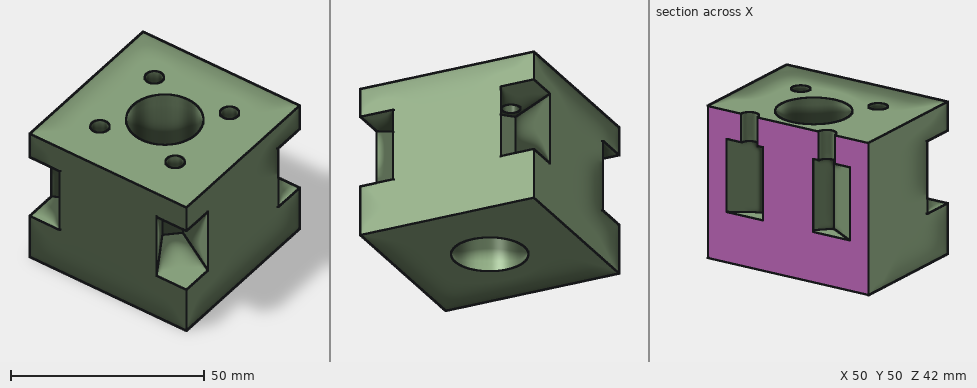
import cadquery as cq

side = 50.0
height = 42.0
half_side = side / 2

bore_diameter = 20.0
bolt_diameter = 5.0
bolt_spacing = 24.0

pocket_floor = 14.0
pocket_height = 20.0
pocket_mouth = 9.5
back_near = 14.0
back_far = 17.8

pocket_top = pocket_floor + pocket_height
bolt_depth = height - pocket_top


def corner_pocket():
    """Cutter for the pocket at the -X, -Y corner."""
    return (
        cq.Workplane("XY", origin=(-half_side, -half_side, pocket_floor))
        .polyline([
            (0, 0),
            (pocket_mouth, 0),
            (back_far, back_near),
            (back_near, back_far),
            (0, pocket_mouth),
        ])
        .close()
        .extrude(pocket_height)
    )


block = cq.Workplane("XY").box(side, side, height, centered=(True, True, False))

for quarter_turn in range(4):
    block = block.cut(corner_pocket().rotate((0, 0, 0), (0, 0, 1), 90 * quarter_turn))

result = (
    block.faces(">Z").workplane()
    .hole(bore_diameter)
    .faces(">Z").workplane()
    .rect(bolt_spacing, bolt_spacing, forConstruction=True)
    .vertices()
    .hole(bolt_diameter, bolt_depth)
)